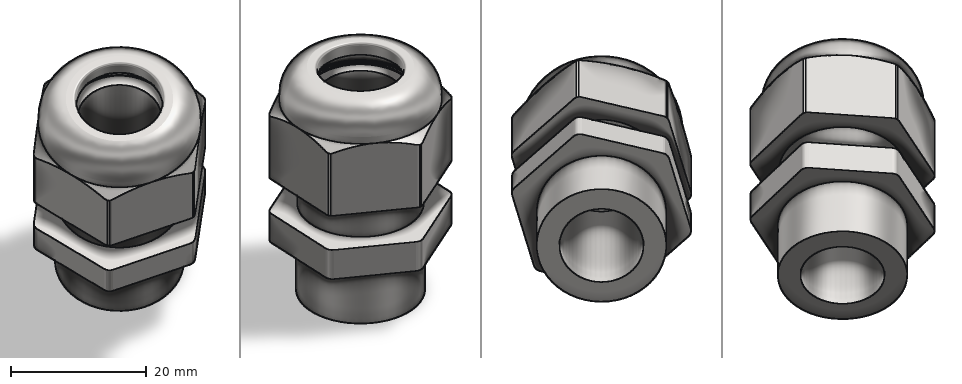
import cadquery as cq
import math

total_height = 39.0
flange_bottom_z = 10.0
flange_top_z = 15.1
cap_bottom_z = 21.1
cap_shoulder_z = 33.1
dome_start_z = 34.3

across_flats = 24.0
flat_radius = across_flats / 2
hexagon_sides = 6
corner_turn = 2 * math.pi / hexagon_sides
secant = 1 / math.cos(corner_turn / 2)
corner_distance = flat_radius * secant
cap_corner_radius = 1.05
cap_corner_facets = 3
flange_corner_radius = 1.33
flange_corner_facets = 4
cap_corner_drop = 1.15

dome_rim_radius = 7.9
mouth_radius = 6.4
mouth_rounding = 0.5
cavity_roof_z = 36.9
cavity_foot_radius = 9.0

entry_thread_radius = 9.55
cap_thread_radius = 9.35
body_top_z = 34.45
body_rim_radius = 8.75

bore_radius = 6.2
seal_radius = 8.35
seal_recess_radius = 7.9
seal_recess_z = 34.25
seal_bottom_z = cap_bottom_z


def cylinder(radius, bottom_z, top_z):
    return cq.Workplane("XY").workplane(offset=bottom_z).circle(radius).extrude(top_z - bottom_z)


def hexagon(bottom_z, top_z, corner_radius, facets):
    """Hexagonal prism whose corner facets are chords of an arc tangent to both flats."""
    arc_center_distance = corner_distance - corner_radius * secant
    outline = []
    for corner in range(hexagon_sides):
        corner_angle = corner_turn * (corner + 0.5)
        for step in range(facets + 1):
            arc_angle = corner_angle + corner_turn * (step / facets - 0.5)
            x = arc_center_distance * math.cos(corner_angle) + corner_radius * math.cos(arc_angle)
            y = arc_center_distance * math.sin(corner_angle) + corner_radius * math.sin(arc_angle)
            outline.append((x, y))
    return cq.Workplane("XY").workplane(offset=bottom_z).polyline(outline).close().extrude(top_z - bottom_z)


def revolve(profile):
    return profile.close().revolve(360, (0, 0, 0), (0, 1, 0))


def make_dome():
    """Collar and dome; the dome arc leaves the collar vertically."""
    run = flat_radius - dome_rim_radius
    rise = total_height - dome_start_z
    arc_radius = (run**2 + rise**2) / (2 * run)
    half_sweep = math.asin(rise / arc_radius) / 2
    arc_center_radius = flat_radius - arc_radius
    arc_middle = (
        arc_center_radius + arc_radius * math.cos(half_sweep),
        dome_start_z + arc_radius * math.sin(half_sweep),
    )
    return revolve(
        cq.Workplane("XZ")
        .moveTo(0, cap_shoulder_z)
        .lineTo(flat_radius, cap_shoulder_z)
        .lineTo(flat_radius, dome_start_z)
        .threePointArc(arc_middle, (dome_rim_radius, total_height))
        .lineTo(0, total_height)
    )


def make_corner_cone():
    """Envelope that bevels the top corners of the cap hexagon."""
    corner_reach = corner_distance - cap_corner_radius * (secant - 1)
    return revolve(
        cq.Workplane("XZ")
        .moveTo(0, cap_bottom_z)
        .lineTo(corner_reach, cap_bottom_z)
        .lineTo(corner_reach, cap_shoulder_z - cap_corner_drop)
        .lineTo(flat_radius, cap_shoulder_z)
        .lineTo(0, cap_shoulder_z)
    )


def make_cap():
    """Grip and dome over a threaded cavity that tapers up to the cable mouth."""
    grip = hexagon(cap_bottom_z, cap_shoulder_z, cap_corner_radius, cap_corner_facets)
    grip = grip.intersect(make_corner_cone())
    taper_slope = (cavity_roof_z - body_top_z) / (cavity_foot_radius - mouth_radius)
    taper_bottom_z = cavity_roof_z - taper_slope * (cap_thread_radius - mouth_radius)
    cavity = cylinder(cap_thread_radius, cap_bottom_z, taper_bottom_z)
    taper = revolve(
        cq.Workplane("XZ")
        .moveTo(0, taper_bottom_z)
        .lineTo(cap_thread_radius, taper_bottom_z)
        .lineTo(mouth_radius, cavity_roof_z)
        .lineTo(0, cavity_roof_z)
    )
    mouth = cylinder(mouth_radius, cavity_roof_z, total_height)
    cap = grip.union(make_dome()).cut(cavity).cut(taper).cut(mouth)
    mouth_edge = cq.selectors.RadiusNthSelector(0)
    return cap.faces(">Z").edges(mouth_edge).fillet(mouth_rounding)


def make_body():
    """Hollow body with a wrench flange and a counterbored seat for the seal."""
    entry_thread = cylinder(entry_thread_radius, 0, flange_bottom_z)
    flange = hexagon(flange_bottom_z, flange_top_z, flange_corner_radius, flange_corner_facets)
    cap_thread = cylinder(cap_thread_radius, flange_top_z, body_top_z)
    cap_thread = cap_thread.faces(">Z").edges().chamfer(cap_thread_radius - body_rim_radius)
    bore = cylinder(bore_radius, 0, body_top_z)
    seal_seat = cylinder(seal_radius, seal_bottom_z, body_top_z)
    return entry_thread.union(flange).union(cap_thread).cut(bore).cut(seal_seat)


def make_seal():
    """Sleeve that continues the bore of the body up to the cap."""
    sleeve = cylinder(seal_radius, seal_bottom_z, body_top_z)
    bore = cylinder(bore_radius, seal_bottom_z, body_top_z)
    recess = cylinder(seal_recess_radius, seal_recess_z, body_top_z)
    return sleeve.cut(bore).cut(recess)


cap = make_cap()
body = make_body()
seal = make_seal()

result = cq.Compound.makeCompound([cap.solids().val(), body.solids().val(), seal.solids().val()])